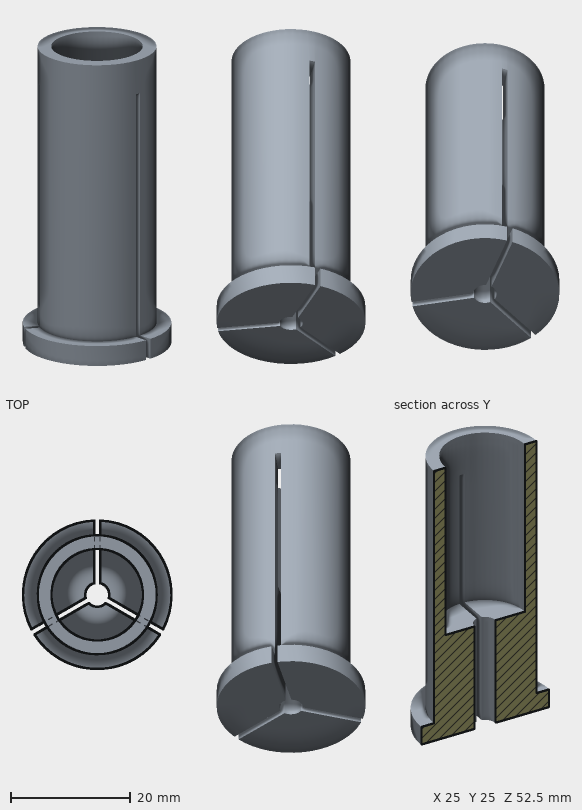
import cadquery as cq

total_height = 52.5
flange_diameter = 25.0
flange_height = 3.5
tube_diameter = 20.0

bore_diameter = 15.4
floor_height = 20.0
hole_diameter = 4.0

slit_count = 3
slit_width = 1.0
slit_height = 46.5
slit_end_drop = 1.6
first_slit_angle = 90


def cylinder(diameter, bottom, top):
    """Upright cylinder on the part axis between two heights."""
    return cq.Workplane("XY").workplane(offset=bottom).circle(diameter / 2).extrude(top - bottom)


def slit(angle):
    """Radial cutter from the axis out past the flange, with a sloping upper end."""
    tube_radius = tube_diameter / 2
    bore_radius = bore_diameter / 2
    flange_radius = flange_diameter / 2
    return (
        cq.Workplane("XZ")
        .polyline([
            (0, 0),
            (flange_radius, 0),
            (flange_radius, slit_height),
            (tube_radius, slit_height),
            (bore_radius, slit_height - slit_end_drop),
            (0, slit_height - slit_end_drop),
        ])
        .close()
        .extrude(slit_width / 2, both=True)
        .rotate((0, 0, 0), (0, 0, 1), angle)
    )


result = cylinder(flange_diameter, 0, flange_height).union(cylinder(tube_diameter, 0, total_height))
result = result.cut(cylinder(bore_diameter, floor_height, total_height))
result = result.cut(cylinder(hole_diameter, 0, floor_height))

for index in range(slit_count):
    result = result.cut(slit(first_slit_angle + index * 360 / slit_count))